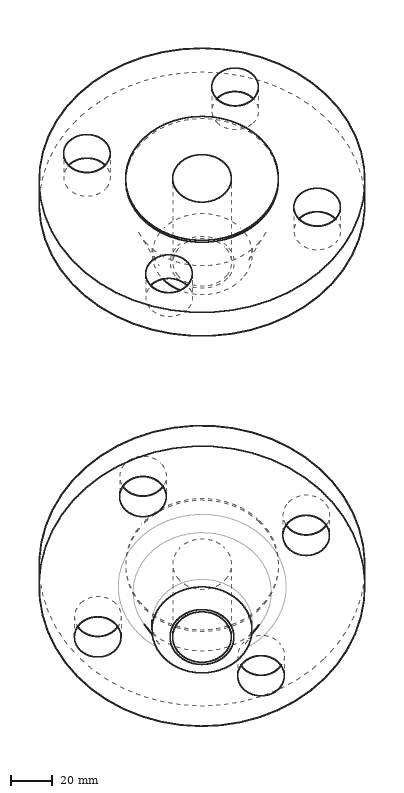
import cadquery as cq
import math

flange_diameter = 155.5
flange_thickness = 19.3
face_diameter = 73.0
face_height = 1.5
total_height = 68.3
bore_diameter = 28.0

bolt_count = 4
bolt_circle_diameter = 114.3
bolt_hole_diameter = 22.2

weld_end_diameter = 47.8
weld_end_length = 7.3
bevel_tip_diameter = 30.5
bevel_height = 6.7
hub_diameter = 66.0
root_radius = 7.5

flange_top = total_height - face_height
flange_bottom = flange_top - flange_thickness
weld_end_radius = weld_end_diameter / 2
cone_bottom = bevel_height + weld_end_length


def root_fillet_points(cone_angle, cone_top):
    """Middle and end points of the arc from the cone to the flange underside."""
    center_r = hub_diameter / 2 + root_radius * math.cos(cone_angle)
    center_z = cone_top - root_radius * math.sin(cone_angle)
    middle_angle = (math.pi / 2 + math.pi - cone_angle) / 2
    middle = (
        center_r + root_radius * math.cos(middle_angle),
        center_z + root_radius * math.sin(middle_angle),
    )
    return middle, (center_r, flange_bottom)


def make_body():
    """Revolve the outer profile of neck, flange and raised face."""
    cone_angle = 0.0
    for _ in range(50):
        cone_top = flange_bottom - root_radius * (1 - math.sin(cone_angle))
        cone_angle = math.atan2(hub_diameter / 2 - weld_end_radius, cone_top - cone_bottom)
    cone_top = flange_bottom - root_radius * (1 - math.sin(cone_angle))
    middle, end = root_fillet_points(cone_angle, cone_top)
    profile = (
        cq.Workplane("XZ")
        .lineTo(bevel_tip_diameter / 2, 0)
        .lineTo(weld_end_radius, bevel_height)
        .lineTo(weld_end_radius, cone_bottom)
        .lineTo(hub_diameter / 2, cone_top)
        .threePointArc(middle, end)
        .lineTo(flange_diameter / 2, flange_bottom)
        .lineTo(flange_diameter / 2, flange_top)
        .lineTo(face_diameter / 2, flange_top)
        .lineTo(face_diameter / 2, total_height)
        .lineTo(0, total_height)
        .close()
    )
    return profile.revolve(360, (0, 0), (0, 1))


def make_bore():
    return cq.Workplane("XY").circle(bore_diameter / 2).extrude(total_height)


def make_bolt_holes():
    return (
        cq.Workplane("XY", origin=(0, 0, flange_bottom))
        .polarArray(bolt_circle_diameter / 2, 0, 360, bolt_count)
        .circle(bolt_hole_diameter / 2)
        .extrude(flange_thickness)
    )


result = make_body().cut(make_bore()).cut(make_bolt_holes())